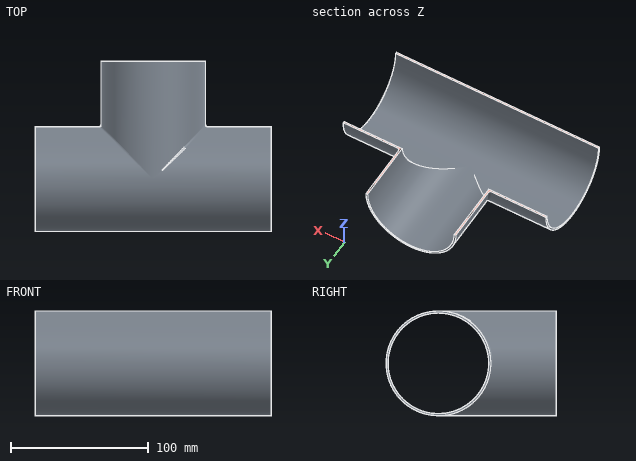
import cadquery as cq

outer_diameter = 76.2
inner_diameter = 72.9
run_length = 171.45
branch_reach = run_length / 2
junction_fillet = 1.5


def solid_tee(diameter):
    """Solid tee of one diameter, with the run and branch axes crossing at the origin."""
    run = cq.Workplane("YZ").circle(diameter / 2).extrude(run_length / 2, both=True)
    branch = cq.Workplane("XZ").circle(diameter / 2).extrude(-branch_reach)
    return run.union(branch)


def filleted_body():
    """Outer tee with its run-to-branch seams, the only elliptical edges, rounded."""
    body = solid_tee(outer_diameter)
    return body.edges("%ELLIPSE").fillet(junction_fillet)


def bores():
    """Bores through the run and the branch, joined at the centre."""
    return solid_tee(inner_diameter)


result = filleted_body().cut(bores())